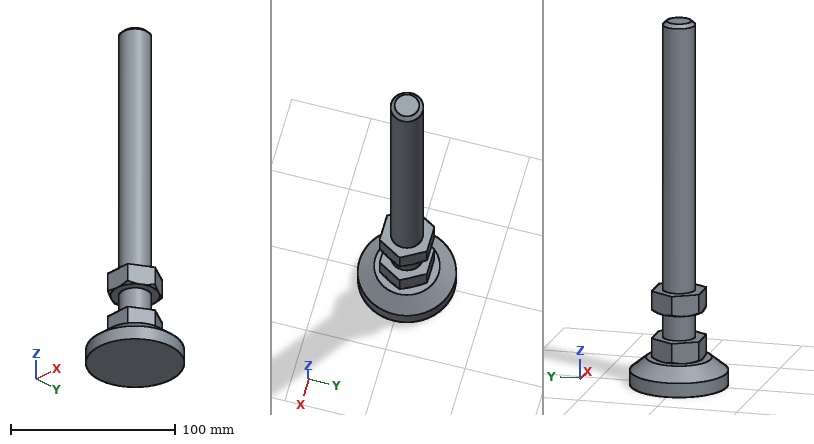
import cadquery as cq
import math

foot_diameter = 60.0
foot_top_diameter = 40.0
foot_rim_height = 9.0
foot_height = 17.0

overall_height = 230.0
rod_diameter = 20.0
tip_chamfer_height = 2.3
tip_chamfer_width = 2.5

hex_across_flats = 30.0
hex_height = 13.0
hex_chamfer_angle = 30.0
nut_bottom = 47.0

rod_radius = rod_diameter / 2
hex_corner_radius = hex_across_flats / math.sqrt(3)
hex_chamfer_circle = hex_across_flats / 2
hex_chamfer_height = (hex_corner_radius - hex_chamfer_circle) * math.tan(math.radians(hex_chamfer_angle))
collar_top = foot_height + hex_height


def revolve_profile(points):
    """Revolve a closed (radius, height) outline about the Z axis."""
    return cq.Workplane("XZ").polyline(points).close().revolve(360, (0, 0, 0), (0, 1, 0))


def make_hexagon(bottom):
    """Hexagonal prism with two corners on X and a conical chamfer around its lower end."""
    prism = (
        cq.Workplane("XY")
        .workplane(offset=bottom)
        .polygon(6, 2 * hex_corner_radius)
        .extrude(hex_height)
    )
    chamfer_envelope = revolve_profile([
        (0, bottom),
        (hex_chamfer_circle, bottom),
        (hex_corner_radius, bottom + hex_chamfer_height),
        (hex_corner_radius, bottom + hex_height),
        (0, bottom + hex_height),
    ])
    return prism.intersect(chamfer_envelope)


def make_foot():
    """Cylindrical rim below a cone that narrows to the flat seat of the collar."""
    return revolve_profile([
        (0, 0),
        (foot_diameter / 2, 0),
        (foot_diameter / 2, foot_rim_height),
        (foot_top_diameter / 2, foot_height),
        (0, foot_height),
    ])


def make_stud():
    """Hexagonal collar resting on the foot, with the rod rising to a chamfered tip."""
    rod = revolve_profile([
        (0, collar_top),
        (rod_radius, collar_top),
        (rod_radius, overall_height - tip_chamfer_height),
        (rod_radius - tip_chamfer_width, overall_height),
        (0, overall_height),
    ])
    return make_hexagon(foot_height).union(rod)


def make_nut():
    """Hexagonal lock nut with a bore that fits the rod."""
    bore = cq.Workplane("XY").workplane(offset=nut_bottom).circle(rod_radius).extrude(hex_height)
    return make_hexagon(nut_bottom).cut(bore)


foot = make_foot()
stud = make_stud()
nut = make_nut()

result = cq.Compound.makeCompound([foot.val(), stud.val(), nut.val()])